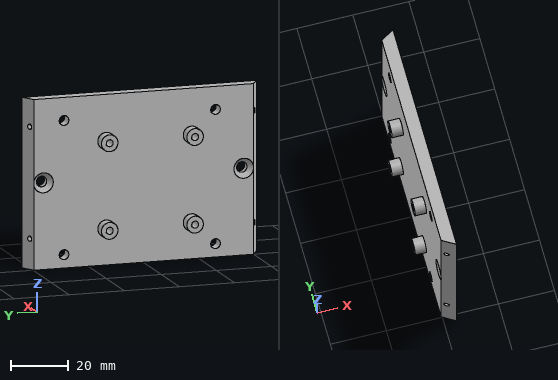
import cadquery as cq

length = 85.4
height = 60.5
total_depth = 8.9
boss_height = 4.0
plate_thickness = total_depth - boss_height
bevel_run = 2.9

boss_diameter = 6.0
boss_bore = 2.5
boss_spacing = 31.0
boss_center_y = -1.9
boss_center_z = -1.7

corner_hole_diameter = 3.4
corner_spacing_y = 55.0
corner_spacing_z = 47.5
corner_center_y = 1.4
corner_center_z = -1.7

screw_line_z = 0.5
sink_diameter = 7.1
sink_bore = 3.7
sink_depth = 2.05
sink_spacing = 72.7

end_hole_diameter = 1.8
end_hole_spacing = 39.6
end_hole_inset = 1.7
end_hole_depth = 4.3


def grid(center_y, center_z, spacing_y, spacing_z):
    """Four (y, z) places at the corners of a rectangle."""
    return [
        (center_y + side_y * spacing_y / 2, center_z + side_z * spacing_z / 2)
        for side_y in (-1, 1)
        for side_z in (-1, 1)
    ]


def x_cylinders(points, diameter, x_start, depth):
    """Equal cylinders along +X, starting at x_start."""
    plane = cq.Workplane("YZ", origin=(x_start, 0, 0))
    return plane.pushPoints(points).circle(diameter / 2).extrude(depth)


def make_plate():
    front_half = length / 2 - bevel_run
    outline = [
        (0, -front_half),
        (plate_thickness, -length / 2),
        (plate_thickness, length / 2),
        (0, front_half),
    ]
    plate = cq.Workplane("XY", origin=(0, 0, -height / 2))
    return plate.polyline(outline).close().extrude(height)


def countersink_cone(y):
    return cq.Workplane(
        cq.Solid.makeCone(
            sink_diameter / 2, sink_bore / 2, sink_depth,
            pnt=cq.Vector(0, y, screw_line_z), dir=cq.Vector(1, 0, 0),
        )
    )


def end_hole(side, z):
    """Blind hole square to the bevelled end on the given side."""
    entry_y = side * (length / 2 - bevel_run + bevel_run * end_hole_inset / plate_thickness)
    inward = cq.Vector(bevel_run, -side * plate_thickness, 0)
    return cq.Workplane(
        cq.Solid.makeCylinder(
            end_hole_diameter / 2, end_hole_depth,
            pnt=cq.Vector(end_hole_inset, entry_y, z), dir=inward,
        )
    )


boss_points = grid(boss_center_y, boss_center_z, boss_spacing, boss_spacing)
corner_points = grid(corner_center_y, corner_center_z, corner_spacing_y, corner_spacing_z)
sink_points = [(side * sink_spacing / 2, screw_line_z) for side in (-1, 1)]

result = make_plate()
result = result.union(x_cylinders(boss_points, boss_diameter, -boss_height, boss_height))
result = result.cut(x_cylinders(boss_points, boss_bore, -boss_height, total_depth))
result = result.cut(x_cylinders(corner_points, corner_hole_diameter, 0, plate_thickness))
result = result.cut(x_cylinders(sink_points, sink_bore, 0, plate_thickness))

for sink_y, _ in sink_points:
    result = result.cut(countersink_cone(sink_y))

for end_side in (-1, 1):
    for row in (-1, 1):
        result = result.cut(end_hole(end_side, screw_line_z + row * end_hole_spacing / 2))